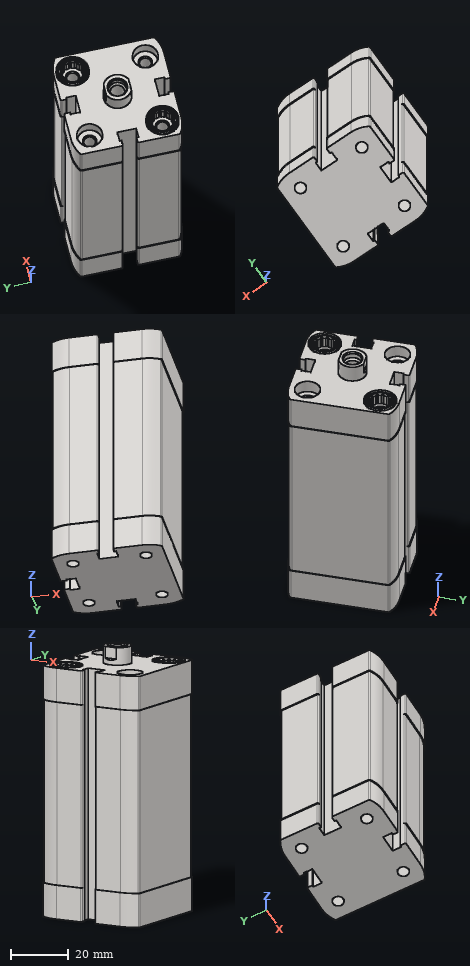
import cadquery as cq
import math

HEIGHT = 95.3
SIDE = 39.5
ROD_PROJECTION = 6.2
HOUSING_HEIGHT = HEIGHT - ROD_PROJECTION
CAP_HEIGHT = 12.1
TUBE_INSET = 0.3

HOLE_SPACING = 26.0
HOLE_OFFSET = HOLE_SPACING / 2
CORNER_RADIUS = 12.5
EDGE_RADIUS = 0.8

SLOT_DEPTH = 5.6
SLOT_WIDTH = 6.8
SLOT_MOUTH_WIDTH = 5.3
SLOT_LIP = 2.2
MOUTH_RADIUS = 0.5

THROUGH_DIAMETER = 4.1
SEAT_DEPTH = 4.6
SEAT_HEIGHT = HOUSING_HEIGHT - SEAT_DEPTH
COUNTERSINK_DIAMETER = 5.0
COUNTERBORE_DIAMETER = 9.0

GROOVE_DIAMETER = 11.5
RING_DIAMETER = 10.5
RING_CHAMFER = 0.5
GROOVE_DEPTH = 1.0
SOCKET_DIAMETER = 7.5
SOCKET_MOUTH_DIAMETER = 8.4
SOCKET_MOUTH_DEPTH = 0.8
FLUTE_COUNT = 12
FLUTE_TIP_RADIUS = 4.2

ROD_DIAMETER = 10.0
ROD_ACROSS_FLATS = 9.0
FLAT_LENGTH = 4.0
ROD_INSERTION = CAP_HEIGHT
BORE_MOUTH_DIAMETER = 7.05
BORE_MOUTH_DEPTH = 0.6
BORE_COUNTERBORE_DIAMETER = 6.4
BORE_COUNTERBORE_DEPTH = 2.4
BORE_DIAMETER = 5.0
BORE_DEPTH = 11.4
BORE_TIP_ANGLE = 120.0


def profile_prism(inset, base, height):
    """Square prism whose four corners are arcs tangent to the -Y and +Y sides only."""
    half = SIDE / 2 - inset
    radius = CORNER_RADIUS - inset
    center = SIDE / 2 - CORNER_RADIUS

    def arc_point(x):
        return center + math.sqrt(radius ** 2 - (x - HOLE_OFFSET) ** 2)

    edge_y = arc_point(half)
    middle_x = (HOLE_OFFSET + half) / 2
    middle_y = arc_point(middle_x)
    return (
        cq.Workplane("XY", origin=(0, 0, base))
        .moveTo(-HOLE_OFFSET, -half)
        .lineTo(HOLE_OFFSET, -half)
        .threePointArc((middle_x, -middle_y), (half, -edge_y))
        .lineTo(half, edge_y)
        .threePointArc((middle_x, middle_y), (HOLE_OFFSET, half))
        .lineTo(-HOLE_OFFSET, half)
        .threePointArc((-middle_x, middle_y), (-half, edge_y))
        .lineTo(-half, -edge_y)
        .threePointArc((-middle_x, -middle_y), (-HOLE_OFFSET, -half))
        .close()
        .extrude(height)
        .edges("|Z and (<X or >X)")
        .fillet(EDGE_RADIUS)
    )


def slot_cutter(angle, inset, base, height):
    """T-slot opening toward -Y, turned about the housing axis by `angle` degrees."""
    face = SIDE / 2 - inset
    lip_inside = SIDE / 2 - SLOT_LIP
    floor = SIDE / 2 - SLOT_DEPTH
    mouth = SLOT_MOUTH_WIDTH / 2
    flare = mouth + MOUTH_RADIUS
    bend = MOUTH_RADIUS * (1 - math.sqrt(0.5))
    return (
        cq.Workplane("XY", origin=(0, 0, base))
        .moveTo(-SLOT_WIDTH / 2, -floor)
        .lineTo(SLOT_WIDTH / 2, -floor)
        .lineTo(SLOT_WIDTH / 2, -lip_inside)
        .lineTo(mouth, -lip_inside)
        .lineTo(mouth, MOUTH_RADIUS - face)
        .threePointArc((mouth + bend, bend - face), (flare, -face))
        .lineTo(-flare, -face)
        .threePointArc((-mouth - bend, bend - face), (-mouth, MOUTH_RADIUS - face))
        .lineTo(-mouth, -lip_inside)
        .lineTo(-SLOT_WIDTH / 2, -lip_inside)
        .close()
        .extrude(height)
        .rotate((0, 0, 0), (0, 0, 1), angle)
    )


def housing_section(inset, base, height):
    """One length of the housing with T-slots in its -Y, -X and +Y sides."""
    section = profile_prism(inset, base, height)
    for angle in (0, -90, 180):
        section = section.cut(slot_cutter(angle, inset, base, height))
    return section


def cylinder(diameter, bottom, top):
    return cq.Workplane("XY", origin=(0, 0, bottom)).circle(diameter / 2).extrude(top - bottom)


def cone(bottom_diameter, top_diameter, top, height):
    return cq.Workplane(
        cq.Solid.makeCone(bottom_diameter / 2, top_diameter / 2, height, pnt=cq.Vector(0, 0, top - height))
    )


def through_hole():
    """Through hole countersunk at its seat."""
    countersink_depth = (COUNTERSINK_DIAMETER - THROUGH_DIAMETER) / 2
    return cylinder(THROUGH_DIAMETER, 0, SEAT_HEIGHT).union(
        cone(THROUGH_DIAMETER, COUNTERSINK_DIAMETER, SEAT_HEIGHT, countersink_depth)
    )


def counterbored_hole():
    return through_hole().union(cylinder(COUNTERBORE_DIAMETER, SEAT_HEIGHT, HOUSING_HEIGHT))


def splined_socket():
    """Round socket with V-shaped flutes, the corners of three squares turned in equal steps."""
    socket = cylinder(SOCKET_DIAMETER, SEAT_HEIGHT, HOUSING_HEIGHT)
    for index in range(FLUTE_COUNT // 4):
        square = (
            cq.Workplane("XY", origin=(0, 0, SEAT_HEIGHT))
            .polygon(4, 2 * FLUTE_TIP_RADIUS)
            .extrude(SEAT_DEPTH)
            .rotate((0, 0, 0), (0, 0, 1), index * 360 / FLUTE_COUNT)
        )
        socket = socket.union(square)
    mouth = cone(SOCKET_DIAMETER, SOCKET_MOUTH_DIAMETER, HOUSING_HEIGHT, SOCKET_MOUTH_DEPTH)
    return socket.union(mouth)


def ring_groove():
    """Groove around the socket, whose inner wall is the chamfered outside of the ring."""
    groove_floor = HOUSING_HEIGHT - GROOVE_DEPTH
    ring = cylinder(RING_DIAMETER, groove_floor, HOUSING_HEIGHT).faces(">Z").chamfer(RING_CHAMFER)
    return cylinder(GROOVE_DIAMETER, groove_floor, HOUSING_HEIGHT).cut(ring)


def socket_hole():
    return through_hole().union(splined_socket()).union(ring_groove())


def make_housing():
    tube_height = HOUSING_HEIGHT - 2 * CAP_HEIGHT
    housing = (
        housing_section(0, 0, CAP_HEIGHT)
        .union(housing_section(TUBE_INSET, CAP_HEIGHT, tube_height))
        .union(housing_section(0, CAP_HEIGHT + tube_height, CAP_HEIGHT))
    )
    for side in (-1, 1):
        housing = housing.cut(socket_hole().translate((side * HOLE_OFFSET, side * HOLE_OFFSET, 0)))
        housing = housing.cut(counterbored_hole().translate((side * HOLE_OFFSET, -side * HOLE_OFFSET, 0)))
    return housing.cut(cylinder(ROD_DIAMETER, HOUSING_HEIGHT - ROD_INSERTION, HOUSING_HEIGHT))


def rod_bore():
    """Chamfered counterbore that tapers into a narrower bore with a conical end."""
    taper_depth = (BORE_COUNTERBORE_DIAMETER - BORE_DIAMETER) / 2
    tip_height = BORE_DIAMETER / 2 / math.tan(math.radians(BORE_TIP_ANGLE / 2))
    bore_bottom = HEIGHT - BORE_DEPTH
    taper_top = HEIGHT - BORE_COUNTERBORE_DEPTH
    return (
        cylinder(BORE_DIAMETER, bore_bottom, HEIGHT)
        .union(cone(0, BORE_DIAMETER, bore_bottom, tip_height))
        .union(cone(BORE_DIAMETER, BORE_COUNTERBORE_DIAMETER, taper_top, taper_depth))
        .union(cylinder(BORE_COUNTERBORE_DIAMETER, taper_top, HEIGHT))
        .union(cone(BORE_COUNTERBORE_DIAMETER, BORE_MOUTH_DIAMETER, HEIGHT, BORE_MOUTH_DEPTH))
    )


def flat_cutter():
    """Wrench flat on the -Y side of the rod, running out at 45 degrees."""
    flat = ROD_ACROSS_FLATS / 2
    outside = ROD_DIAMETER
    flat_bottom = HEIGHT - FLAT_LENGTH
    return (
        cq.Workplane("YZ")
        .moveTo(-flat, HEIGHT)
        .lineTo(-flat, flat_bottom)
        .lineTo(-outside, flat_bottom - (outside - flat))
        .lineTo(-outside, HEIGHT)
        .close()
        .extrude(ROD_DIAMETER / 2, both=True)
    )


def make_rod():
    rod = cylinder(ROD_DIAMETER, HOUSING_HEIGHT - ROD_INSERTION, HEIGHT).cut(rod_bore())
    for angle in (0, 180):
        rod = rod.cut(flat_cutter().rotate((0, 0, 0), (0, 0, 1), angle))
    return rod


housing = make_housing()
rod = make_rod()
result = cq.Compound.makeCompound([housing.val(), rod.val()])